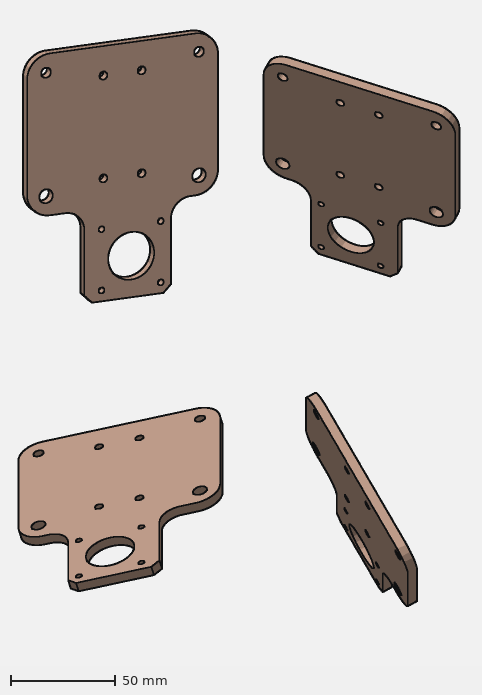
import cadquery as cq

thickness = 5.0
total_height = 129.0
plate_width = 100.0
plate_height = 81.9
plate_corner_radius = 12.0

tab_width = 45.3
tab_center_y = 2.7
tab_chamfer = 4.0
neck_radius = 10.0

corner_hole_spacing = 80.0
upper_corner_diameter = 5.0
upper_corner_depth = 9.5
lower_corner_diameter = 7.0
lower_corner_depth = 72.0
inner_hole_spacing = 20.0
inner_hole_diameter = 4.0
inner_hole_depths = (15.0, 67.0)

motor_y = 4.5
motor_height = 21.0
motor_bore_diameter = 24.0
motor_screw_spacing = 31.0
motor_screw_diameter = 3.0

top_z = total_height / 2
bottom_z = -total_height / 2
plate_bottom_z = top_z - plate_height
motor_z = bottom_z + motor_height


def slab(width, center_y, low_z, high_z):
    """Flat block spanning the part thickness in X."""
    center_z = (low_z + high_z) / 2
    return cq.Workplane("XY").box(thickness, width, high_z - low_z).translate((0, center_y, center_z))


def drill(body, points, diameter):
    """Cut through holes along X at (y, z) points."""
    cutter = cq.Workplane("YZ").pushPoints(points).circle(diameter / 2).extrude(thickness, both=True)
    return body.cut(cutter)


def pair(spacing, z):
    """Two points placed symmetrically about the plate centreline."""
    return [(-spacing / 2, z), (spacing / 2, z)]


plate = slab(plate_width, 0, plate_bottom_z, top_z).edges("|X").fillet(plate_corner_radius)
tab = slab(tab_width, tab_center_y, bottom_z, top_z - plate_height / 2)
tab = tab.faces("<Z").edges("|X").chamfer(tab_chamfer)
body = plate.union(tab)

for side in (-1, 1):
    neck_y = tab_center_y + side * tab_width / 2
    neck = cq.selectors.NearestToPointSelector((0, neck_y, plate_bottom_z))
    body = body.edges("|X").edges(neck).fillet(neck_radius)

body = drill(body, pair(corner_hole_spacing, top_z - upper_corner_depth), upper_corner_diameter)
body = drill(body, pair(corner_hole_spacing, top_z - lower_corner_depth), lower_corner_diameter)
for depth in inner_hole_depths:
    body = drill(body, pair(inner_hole_spacing, top_z - depth), inner_hole_diameter)

body = drill(body, [(motor_y, motor_z)], motor_bore_diameter)
half_screw_spacing = motor_screw_spacing / 2
motor_screws = [
    (motor_y + side_y * half_screw_spacing, motor_z + side_z * half_screw_spacing)
    for side_y in (-1, 1)
    for side_z in (-1, 1)
]
result = drill(body, motor_screws, motor_screw_diameter)